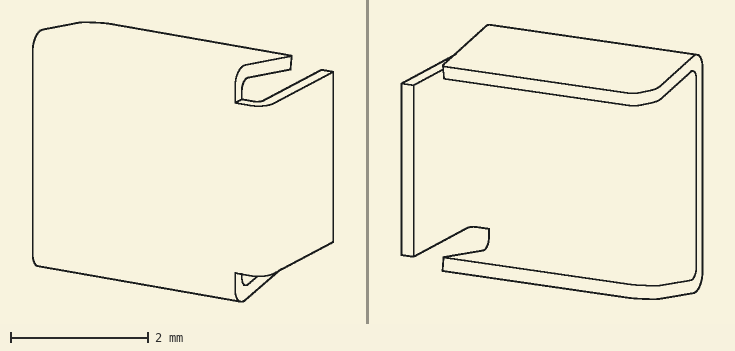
import cadquery as cq
import math

sheet = 0.2
height = 3.6
web_width = 3.4
total_width = 3.9
depth = 2.0
tab_height = 2.6
outer_bend = 0.25
flange_inner_bend = 0.15
tab_inner_bend = 0.1
flange_lean = math.radians(10)
upper_reach = 1.69
lower_reach = 1.705
corner_chamfer = 0.25
chamfer_blend = 0.25
small_corner = 0.05

lean_sin = math.sin(flange_lean)
lean_cos = math.cos(flange_lean)

bend_center_z = height / 2 - outer_bend
outer_corner_z = bend_center_z + outer_bend * (1 + lean_sin) / lean_cos
inner_corner_z = outer_corner_z - sheet * (1 + lean_sin) / lean_cos


def flange_points(reach, side):
    """Outer corner, outer tip, inner tip and inner corner; side is 1 for upper, -1 for lower."""
    tip_z = outer_corner_z - reach * math.tan(flange_lean)
    inner_tip = (reach - sheet * lean_sin, side * (tip_z - sheet * lean_cos))
    return [
        (0, side * outer_corner_z),
        (reach, side * tip_z),
        inner_tip,
        (sheet, side * inner_corner_z),
    ]


def edge_at(y, z):
    """Selector for the X-direction edge of the channel that passes through (y, z)."""
    return cq.selectors.NearestToPointSelector((web_width / 2, y, z))


def make_channel():
    """Web with two inward-leaning flanges, drawn in the YZ plane and extruded along X."""
    upper = flange_points(upper_reach, 1)
    lower = flange_points(lower_reach, -1)
    channel = cq.Workplane("YZ").polyline(upper + lower[::-1]).close().extrude(web_width)
    for side in (1, -1):
        channel = channel.edges(edge_at(0, side * outer_corner_z)).fillet(outer_bend)
        channel = channel.edges(edge_at(sheet, side * inner_corner_z)).fillet(flange_inner_bend)
    return channel


def shape_flange_corners(channel, side):
    """Chamfer and blend one flange's free corner, and round its corner beside the tab."""
    across_sheet = cq.selectors.ParallelDirSelector(cq.Vector(0, lean_sin, side * lean_cos))
    channel = channel.edges(across_sheet).edges("<X").chamfer(corner_chamfer)
    channel = channel.edges(across_sheet).edges("not >X").fillet(chamfer_blend)
    return channel.edges(across_sheet).edges(">X").fillet(small_corner)


def make_tab():
    """Tab that runs out of the web in X and bends square to +Y."""
    bend_start = total_width - outer_bend
    inner_x = total_width - sheet
    mid_bend = math.cos(math.radians(45))
    outer_mid = (bend_start + outer_bend * mid_bend, outer_bend * (1 - mid_bend))
    inner_mid = (
        inner_x - tab_inner_bend * (1 - mid_bend),
        sheet + tab_inner_bend * (1 - mid_bend),
    )
    return (
        cq.Workplane("XY")
        .moveTo(web_width - sheet, 0)
        .lineTo(bend_start, 0)
        .threePointArc(outer_mid, (total_width, outer_bend))
        .lineTo(total_width, depth)
        .lineTo(inner_x, depth)
        .lineTo(inner_x, sheet + tab_inner_bend)
        .threePointArc(inner_mid, (inner_x - tab_inner_bend, sheet))
        .lineTo(web_width - sheet, sheet)
        .close()
        .extrude(tab_height / 2, both=True)
    )


clip = make_channel()
for flange_side in (1, -1):
    clip = shape_flange_corners(clip, flange_side)

result = clip.union(make_tab())